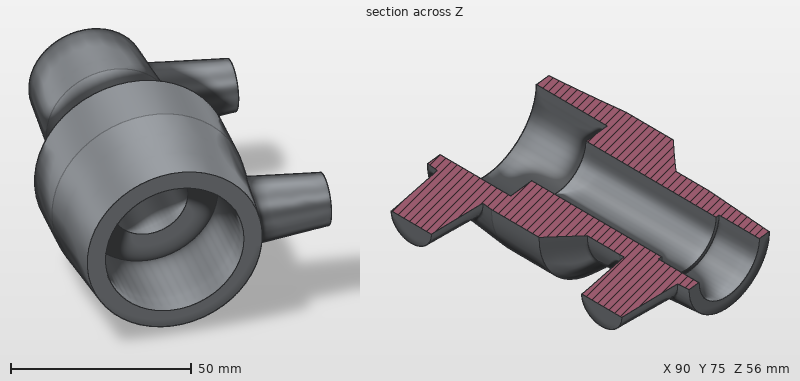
import cadquery as cq
import math

length = 90.0
neck_dia = 37.0
neck_end_dia = 33.4
barrel_dia = 56.0
barrel_end_dia = 50.5
neck_taper_end = 24.3
shoulder_start = 36.4
shoulder_angle = 45.0
barrel_taper_start = 63.6

small_socket_dia = 25.0
small_socket_depth = 15.0
throat_dia = 22.5
large_socket_dia = 40.0
large_socket_depth = length - barrel_taper_start

terminal_tip_dia = 15.0
terminal_draft = 5.5
terminal_inset = 13.5
neck_terminal_tip_y = 38.0
barrel_terminal_tip_y = 47.0


def make_body():
    """Reducer outline revolved about X: tapered neck, shoulder, tapered barrel."""
    shoulder_rise = (barrel_dia - neck_dia) / 2
    shoulder_end = shoulder_start + shoulder_rise / math.tan(math.radians(shoulder_angle))
    outline = [
        (0, 0),
        (0, neck_end_dia / 2),
        (neck_taper_end, neck_dia / 2),
        (shoulder_start, neck_dia / 2),
        (shoulder_end, barrel_dia / 2),
        (barrel_taper_start, barrel_dia / 2),
        (length, barrel_end_dia / 2),
        (length, 0),
    ]
    return cq.Workplane("XY").polyline(outline).close().revolve(360, (0, 0, 0), (1, 0, 0))


def make_terminal(x, tip_y):
    """Cone from the body axis out to the terminal tip."""
    tip_radius = terminal_tip_dia / 2
    root_radius = tip_radius + tip_y * math.tan(math.radians(terminal_draft))
    origin = cq.Vector(x, 0, 0)
    return cq.Workplane(cq.Solid.makeCone(root_radius, tip_radius, tip_y, origin, cq.Vector(0, 1, 0)))


def make_bore(start, end, diameter):
    """Cylinder on the body axis from start to end along X."""
    return cq.Workplane("YZ", origin=(start, 0, 0)).circle(diameter / 2).extrude(end - start)


result = make_body()
result = result.union(make_terminal(terminal_inset, neck_terminal_tip_y))
result = result.union(make_terminal(length - terminal_inset, barrel_terminal_tip_y))
result = result.cut(make_bore(0, length, throat_dia))
result = result.cut(make_bore(0, small_socket_depth, small_socket_dia))
result = result.cut(make_bore(length - large_socket_depth, length, large_socket_dia))